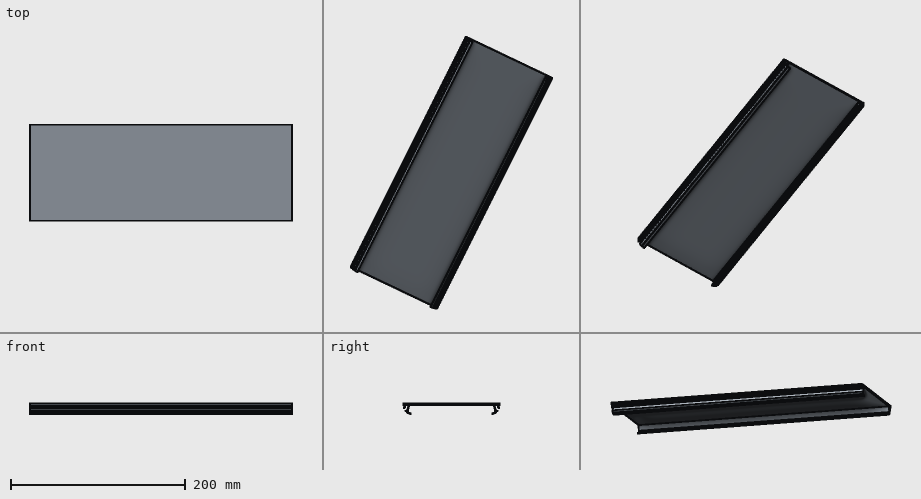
import cadquery as cq

length = 300.0
width = 110.0
height = 12.5
plate_thickness = 2.0

rim_depth = 1.8
notch_inset = 1.5
notch_top_depth = 3.3
notch_bottom_depth = 3.5
bead_tip_inset = 0.3
bead_tip_depth = 5.0
lip_depth = 5.7
lip_foot_inset = 1.2
lip_inner_inset = 2.5

groove_width = 1.2
groove_depth = 0.45

leg_thickness = 1.0
leg_root_inset = 6.0
leg_foot_inset = 4.2
leg_foot_depth = 8.0
barb_inset = 2.5
barb_depth = 8.7
inner_corner_depth = 9.0
hook_bend_inset = 4.8
hook_bend_depth = 11.0
hook_tip_inset = 8.5
inner_bend_inset = 5.7
inner_bend_depth = 10.5
inner_tip_inset = 8.7
inner_tip_depth = 11.7

half_width = width / 2
half_length = length / 2


def at(inset, depth):
    """Section point (Y, Z) on the +Y side; the plate top is at half the height."""
    return (half_width - inset, height / 2 - depth)


def extrude_along_length(outline):
    return outline.close().extrude(half_length, both=True)


def make_plate():
    plate = cq.Workplane("XY").box(length, width, plate_thickness)
    return plate.translate((0, 0, (height - plate_thickness) / 2))


def make_groove():
    groove_end_inset = lip_inner_inset + groove_width
    groove_middle_inset = lip_inner_inset + groove_width / 2
    return extrude_along_length(
        cq.Workplane("YZ")
        .moveTo(*at(lip_inner_inset, plate_thickness))
        .threePointArc(
            at(groove_middle_inset, plate_thickness - groove_depth),
            at(groove_end_inset, plate_thickness),
        )
    )


def make_lip():
    return extrude_along_length(
        cq.Workplane("YZ").polyline([
            at(0, plate_thickness / 2),
            at(0, rim_depth),
            at(notch_inset, notch_top_depth),
            at(notch_inset, notch_bottom_depth),
            at(bead_tip_inset, bead_tip_depth),
            at(bead_tip_inset, lip_depth),
            at(lip_foot_inset, lip_depth),
            at(lip_inner_inset, notch_bottom_depth),
            at(lip_inner_inset, plate_thickness / 2),
        ])
    )


def make_snap_leg():
    return extrude_along_length(
        cq.Workplane("YZ").polyline([
            at(leg_root_inset, plate_thickness / 2),
            at(leg_root_inset, plate_thickness),
            at(leg_foot_inset, leg_foot_depth),
            at(barb_inset, barb_depth),
            at(hook_bend_inset, hook_bend_depth),
            at(hook_tip_inset, height),
            at(inner_tip_inset, inner_tip_depth),
            at(inner_bend_inset, inner_bend_depth),
            at(leg_foot_inset + leg_thickness, inner_corner_depth),
            at(leg_root_inset + leg_thickness, plate_thickness),
            at(leg_root_inset + leg_thickness, plate_thickness / 2),
        ])
    )


groove = make_groove()
result = make_plate().cut(groove).cut(groove.mirror("XZ"))
for profile in (make_lip(), make_snap_leg()):
    result = result.union(profile).union(profile.mirror("XZ"))